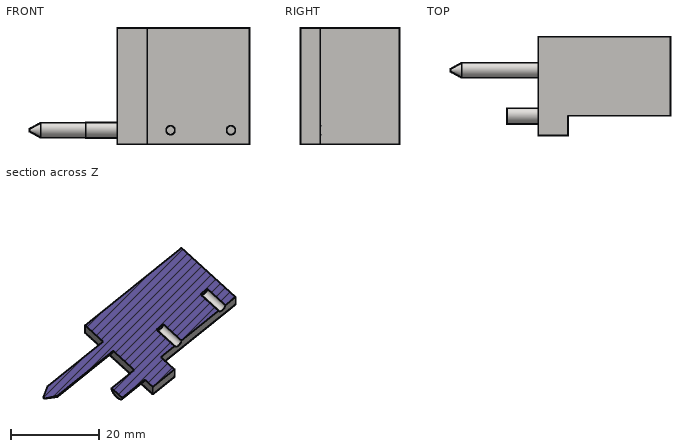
import cadquery as cq

total_length = 49.95
total_width = 22.5
height = 26.35

block_length = 30.05
flange_length = 6.85
flange_step = 4.5
block_face_x = total_length - block_length
body_width = total_width - flange_step

axis_height = 3.2

long_pin_diameter = 3.45
long_pin_from_back = 7.65
cone_length = 2.6
tip_diameter = 0.6

short_pin_diameter = 3.6
short_pin_length = 7.05
pin_spacing = 10.4
short_pin_from_back = long_pin_from_back + pin_spacing

hole_diameter = 2.0
hole_depth = 6.0
hole_end_distance = 4.25
hole_spacing = 13.7
last_hole_x = total_length - hole_end_distance
hole_positions = (last_hole_x - hole_spacing, last_hole_x)


def make_block():
    return (
        cq.Workplane("XY")
        .moveTo(block_face_x, 0)
        .lineTo(total_length, 0)
        .lineTo(total_length, -body_width)
        .lineTo(block_face_x + flange_length, -body_width)
        .lineTo(block_face_x + flange_length, -total_width)
        .lineTo(block_face_x, -total_width)
        .close()
        .extrude(height)
    )


def make_long_pin():
    """Half profile revolved about the pin axis."""
    pin_radius = long_pin_diameter / 2
    return (
        cq.Workplane("XY", origin=(0, -long_pin_from_back, axis_height))
        .lineTo(0, tip_diameter / 2)
        .lineTo(cone_length, pin_radius)
        .lineTo(block_face_x, pin_radius)
        .lineTo(block_face_x, 0)
        .close()
        .revolve(360, (0, 0), (1, 0))
    )


def make_short_pin():
    start_x = block_face_x - short_pin_length
    return (
        cq.Workplane("YZ", origin=(start_x, -short_pin_from_back, axis_height))
        .circle(short_pin_diameter / 2)
        .extrude(short_pin_length)
    )


def make_cross_hole(hole_x):
    """Cutter for a blind hole, entering from the front face of the main body."""
    return (
        cq.Workplane("XZ", origin=(hole_x, -body_width, axis_height))
        .circle(hole_diameter / 2)
        .extrude(-hole_depth)
    )


result = make_block().union(make_long_pin()).union(make_short_pin())
for hole_x in hole_positions:
    result = result.cut(make_cross_hole(hole_x))